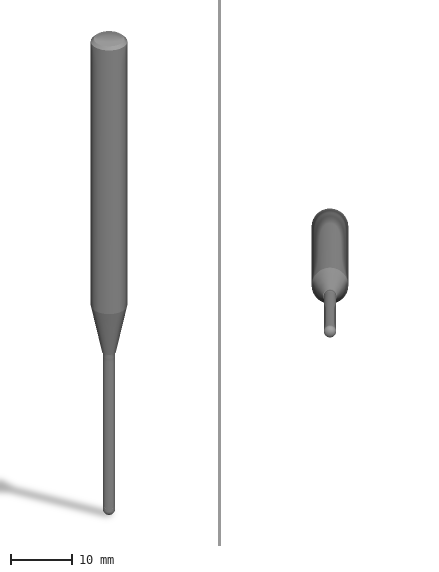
import cadquery as cq
import math

overall_length = 90.0

cutter_diameter = 2.0
cutting_length = 1.6

neck_diameter = 1.95
neck_end_z = 29.5
collar_diameter = 2.0
collar_start_z = 30.0
collar_end_z = 30.8

cone_tip_diameter = 2.3
shank_diameter = 6.0
shank_start_z = 39.6
shank_chamfer = 0.5

cutter_radius = cutter_diameter / 2
neck_radius = neck_diameter / 2
collar_radius = collar_diameter / 2
cone_tip_radius = cone_tip_diameter / 2
shank_radius = shank_diameter / 2


def revolve_about_z(profile):
    """Turn a closed half profile, drawn as (radius, z) on the -Y side, about the Z axis."""
    return profile.close().revolve(360, (0, 0), (0, 1))


def half_profile_plane():
    """Sketch plane whose first axis is -Y and second axis is Z."""
    return cq.Workplane(cq.Plane(origin=(0, 0, 0), xDir=(0, -1, 0), normal=(-1, 0, 0)))


def make_cutting_head():
    """Hemispherical tip with a short cylindrical land above it."""
    arc_middle_offset = cutter_radius * math.sqrt(0.5)
    profile = (
        half_profile_plane()
        .moveTo(0, 0)
        .threePointArc(
            (arc_middle_offset, cutter_radius - arc_middle_offset),
            (cutter_radius, cutter_radius),
        )
        .lineTo(cutter_radius, cutting_length)
        .lineTo(0, cutting_length)
    )
    return revolve_about_z(profile)


def make_shank():
    """Slim neck, short collar, conical transition and chamfered cylindrical shank."""
    profile = (
        half_profile_plane()
        .moveTo(0, cutting_length)
        .lineTo(neck_radius, cutting_length)
        .lineTo(neck_radius, neck_end_z)
        .lineTo(collar_radius, collar_start_z)
        .lineTo(collar_radius, collar_end_z)
        .lineTo(cone_tip_radius, collar_end_z)
        .lineTo(shank_radius, shank_start_z)
        .lineTo(shank_radius, overall_length - shank_chamfer)
        .lineTo(shank_radius - shank_chamfer, overall_length)
        .lineTo(0, overall_length)
    )
    return revolve_about_z(profile)


cutting_head = make_cutting_head()
shank = make_shank()

result = cq.Compound.makeCompound([cutting_head.val(), shank.val()])